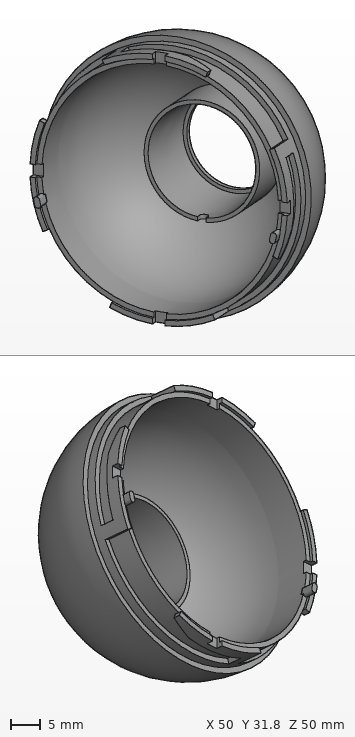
import cadquery as cq
import math


DOME_RADIUS = 25.0
CAVITY_RADIUS = 22.0
DOME_TOP = 23.3

COLLAR_RADIUS = 23.95
COLLAR_END = -1.8
SKIRT_RADIUS = 22.95
SKIRT_END = -6.5
MID_WALL_RADIUS = (CAVITY_RADIUS + SKIRT_RADIUS) / 2

TUBE_RADIUS = 10.75
TUBE_RIM = 9.8
BORE_RIM_RADIUS = 10.0
BORE_LIP_RADIUS = 9.45
LIP_RADIUS = 8.75
LIP_THICKNESS = 1.0

TUBE_NOTCH_WIDTH = 1.6
TUBE_NOTCH_DEPTH = 1.6

LUG_COUNT = 4
SEAM_ANGLE = 180 / LUG_COUNT
LUG_END = -7.1
LUG_START_ANGLE = -26.0
LUG_END_ANGLE = 22.4
SLOT_START_ANGLE = -20.0
SLOT_FLOOR = -4.55
RAMP_START = 4.3
RAMP_SLOPE = math.tan(math.radians(15))
LUG_NOTCH_WIDTH = 2.3
LUG_NOTCH_FLOOR = -5.85

PIN_LENGTH = 2.0
PIN_WIDTH = 1.1
PIN_END = -8.5
PIN_ROOT = -6.0
PIN_ANGLE = 12.8


def along_y(y):
    """Workplane square to Y at height y; local x is X, local y is Z, extrusion goes to -Y."""
    return cq.Workplane("XZ", origin=(0, y, 0))


def polar(radius, angle):
    """Point in the XZ plane, with the angle measured from +Z towards +X."""
    turn = math.radians(angle)
    return (radius * math.sin(turn), radius * math.cos(turn))


def ring_sector(inner, outer, start, stop, y_from, y_to):
    """Part of a ring between two angles, running from y_from down to y_to."""
    middle = (start + stop) / 2
    return (
        along_y(y_from)
        .moveTo(*polar(inner, start))
        .lineTo(*polar(outer, start))
        .threePointArc(polar(outer, middle), polar(outer, stop))
        .lineTo(*polar(inner, stop))
        .threePointArc(polar(inner, middle), polar(inner, start))
        .close()
        .extrude(y_from - y_to)
    )


def revolved(profile):
    """Full turn of a profile about Y, with the seam of its faces midway between two lugs."""
    turned = profile.close().revolve(360, (0, 0, 0), (0, 1, 0))
    return turned.rotate((0, 0, 0), (0, 1, 0), SEAM_ANGLE)


def make_outer_body():
    top_radius = math.sqrt(DOME_RADIUS**2 - DOME_TOP**2)
    middle = DOME_RADIUS * math.sqrt(0.5)
    return revolved(
        cq.Workplane("XY")
        .moveTo(0, DOME_TOP)
        .lineTo(top_radius, DOME_TOP)
        .threePointArc((middle, middle), (DOME_RADIUS, 0))
        .lineTo(COLLAR_RADIUS, 0)
        .lineTo(COLLAR_RADIUS, LUG_END)
        .lineTo(0, LUG_END)
    )


def make_cavity():
    """Space inside the lugs and the shell and around the tube."""
    middle = CAVITY_RADIUS * math.sqrt(0.5)
    tube_root = math.sqrt(CAVITY_RADIUS**2 - TUBE_RADIUS**2)
    return revolved(
        cq.Workplane("XY")
        .moveTo(0, LUG_END)
        .lineTo(SKIRT_RADIUS, LUG_END)
        .lineTo(SKIRT_RADIUS, SKIRT_END)
        .lineTo(CAVITY_RADIUS, SKIRT_END)
        .lineTo(CAVITY_RADIUS, 0)
        .threePointArc((middle, middle), (TUBE_RADIUS, tube_root))
        .lineTo(TUBE_RADIUS, TUBE_RIM)
        .lineTo(0, TUBE_RIM)
    )


def make_bore():
    lip_y = DOME_TOP - LIP_THICKNESS
    return revolved(
        cq.Workplane("XY")
        .moveTo(0, TUBE_RIM)
        .lineTo(BORE_RIM_RADIUS, TUBE_RIM)
        .lineTo(BORE_LIP_RADIUS, lip_y)
        .lineTo(LIP_RADIUS, lip_y)
        .lineTo(LIP_RADIUS, DOME_TOP)
        .lineTo(0, DOME_TOP)
    )


def make_tube_notch():
    """Round-bottomed cut through the tube wall on the -Z side of the rim."""
    half = TUBE_NOTCH_WIDTH / 2
    straight_end = TUBE_RIM + TUBE_NOTCH_DEPTH - half
    return (
        cq.Workplane("XY")
        .moveTo(-half, TUBE_RIM)
        .lineTo(-half, straight_end)
        .threePointArc((0, TUBE_RIM + TUBE_NOTCH_DEPTH), (half, straight_end))
        .lineTo(half, TUBE_RIM)
        .close()
        .extrude(-CAVITY_RADIUS / 2)
    )


def make_lug_relief():
    """Space between the skirt and the rail of the +Z lug, on to the start of the next lug."""
    next_lug = LUG_START_ANGLE + 360 / LUG_COUNT
    slot = ring_sector(SKIRT_RADIUS, DOME_RADIUS, SLOT_START_ANGLE, next_lug, COLLAR_END, SLOT_FLOOR)
    gap = ring_sector(SKIRT_RADIUS, DOME_RADIUS, LUG_END_ANGLE, next_lug, COLLAR_END, LUG_END)
    ramp = (
        cq.Workplane("XY")
        .moveTo(RAMP_START, SLOT_FLOOR)
        .lineTo(DOME_RADIUS, SLOT_FLOOR - RAMP_SLOPE * (DOME_RADIUS - RAMP_START))
        .lineTo(DOME_RADIUS, SLOT_FLOOR)
        .close()
        .extrude(DOME_RADIUS)
    )
    rail = ring_sector(SKIRT_RADIUS, DOME_RADIUS, SLOT_START_ANGLE, LUG_END_ANGLE, COLLAR_END, LUG_END)
    return slot.union(gap).union(ramp.intersect(rail))


def make_lug_notch():
    """Square notch through the lug and the skirt behind it."""
    outline = along_y(LUG_NOTCH_FLOOR).rect(LUG_NOTCH_WIDTH, DOME_RADIUS, centered=(True, False))
    return outline.extrude(LUG_NOTCH_FLOOR - LUG_END)


def make_pin(side):
    """Rounded pin on the +X (side = 1) or -X (side = -1) half of the skirt."""
    pin = along_y(PIN_ROOT).center(side * MID_WALL_RADIUS, 0).slot2D(PIN_LENGTH, PIN_WIDTH, 90)
    return pin.extrude(PIN_ROOT - PIN_END).rotate((0, 0, 0), (0, 1, 0), side * PIN_ANGLE)


def around_axis(shape, index):
    return shape.rotate((0, 0, 0), (0, 1, 0), index * 360 / LUG_COUNT)


result = make_outer_body().cut(make_cavity()).cut(make_bore()).cut(make_tube_notch())
for index in range(LUG_COUNT):
    result = result.cut(around_axis(make_lug_relief(), index))
for index in range(LUG_COUNT):
    result = result.cut(around_axis(make_lug_notch(), index))
for side in (1, -1):
    result = result.union(make_pin(side))